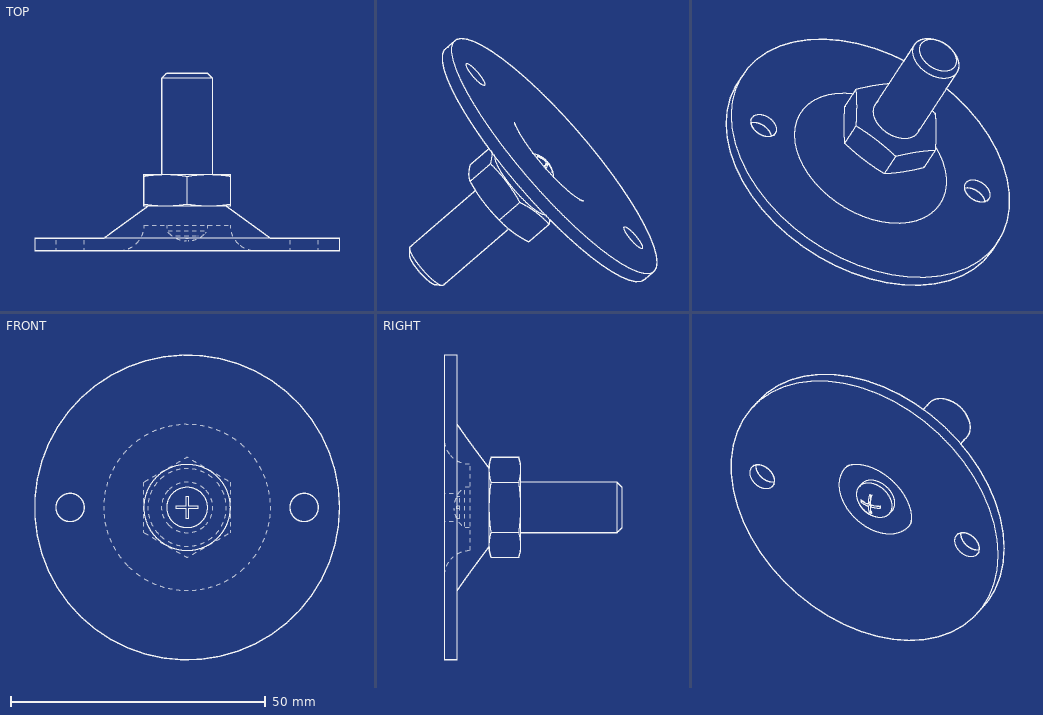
import cadquery as cq
import math

plate_diameter = 60
plate_thickness = 2.5
mount_hole_diameter = 5.5
mount_hole_spacing = 46.0

cone_base_diameter = 32.75
cone_top_diameter = 16.55
cone_top = 8.4
dimple_floor_diameter = 17.0
dimple_depth = 5.05

nut_start = 8.8
nut_end = 15
nut_across_flats = 17.1
nut_chamfer_height = 0.35
neck_diameter = 15.35
stud_diameter = 10.0
stud_end = 35.0
stud_chamfer = 1.0

head_diameter = 8.0
head_rim_height = 1.1
head_height = 3.1
cross_length = 4.3
cross_width = 0.5
cross_depth = 1.0


def revolve_about_y(profile):
    """Revolve a closed (radius, Y) profile around the Y axis."""
    return profile.close().revolve(360, (0, 0, 0), (0, 1, 0))


def make_flange():
    """Plate, cone and the short neck that carries the nut."""
    profile = (
        cq.Workplane("XY")
        .lineTo(plate_diameter / 2, 0)
        .lineTo(plate_diameter / 2, plate_thickness)
        .lineTo(cone_base_diameter / 2, plate_thickness)
        .lineTo(cone_top_diameter / 2, cone_top)
        .lineTo(neck_diameter / 2, nut_start)
        .lineTo(0, nut_start)
    )
    return revolve_about_y(profile)


def make_dimple():
    """Flat-floored recess whose wall rounds over into the front face."""
    floor_radius = dimple_floor_diameter / 2
    round_radius = dimple_depth
    mouth_radius = floor_radius + round_radius
    diagonal = round_radius * math.sqrt(0.5)
    profile = (
        cq.Workplane("XY")
        .lineTo(mouth_radius, 0)
        .threePointArc(
            (mouth_radius - diagonal, round_radius - diagonal),
            (floor_radius, dimple_depth),
        )
        .lineTo(0, dimple_depth)
    )
    return revolve_about_y(profile)


def make_mount_holes():
    return (
        cq.Workplane("XZ")
        .pushPoints([(side * mount_hole_spacing / 2, 0) for side in (-1, 1)])
        .circle(mount_hole_diameter / 2)
        .extrude(-plate_thickness)
    )


def make_nut():
    """Hexagon with flats facing X, trimmed by a chamfer cone at both ends."""
    corner_radius = nut_across_flats / math.sqrt(3)
    face_radius = nut_across_flats / 2
    hexagon = (
        cq.Workplane("XZ", origin=(0, nut_start, 0))
        .polygon(6, 2 * corner_radius)
        .extrude(nut_start - nut_end)
        .rotate((0, 0, 0), (0, 1, 0), 30)
    )
    envelope = (
        cq.Workplane("XY")
        .moveTo(0, nut_start)
        .lineTo(face_radius, nut_start)
        .lineTo(corner_radius, nut_start + nut_chamfer_height)
        .lineTo(corner_radius, nut_end - nut_chamfer_height)
        .lineTo(face_radius, nut_end)
        .lineTo(0, nut_end)
    )
    return hexagon.intersect(revolve_about_y(envelope))


def make_stud():
    return (
        cq.Workplane("XZ", origin=(0, nut_start, 0))
        .circle(stud_diameter / 2)
        .extrude(nut_start - stud_end)
        .faces(">Y")
        .chamfer(stud_chamfer)
    )


def make_screw_head():
    """Short cylindrical rim topped by a spherical dome with a cross recess."""
    radius = head_diameter / 2
    dome_height = head_height - head_rim_height
    sphere_radius = (radius**2 + dome_height**2) / (2 * dome_height)
    apex = dimple_depth - head_height
    half_angle = math.asin(radius / sphere_radius) / 2
    dome_middle = (
        sphere_radius * math.sin(half_angle),
        apex + sphere_radius * (1 - math.cos(half_angle)),
    )
    profile = (
        cq.Workplane("XY")
        .moveTo(0, dimple_depth)
        .lineTo(radius, dimple_depth)
        .lineTo(radius, dimple_depth - head_rim_height)
        .threePointArc(dome_middle, (0, apex))
    )
    head = revolve_about_y(profile)
    for size in ((cross_length, cross_width), (cross_width, cross_length)):
        slot = cq.Workplane("XZ", origin=(0, apex, 0)).rect(*size).extrude(-cross_depth)
        head = head.cut(slot)
    return head


result = (
    make_flange()
    .cut(make_dimple())
    .cut(make_mount_holes())
    .union(make_nut())
    .union(make_stud())
    .union(make_screw_head())
)